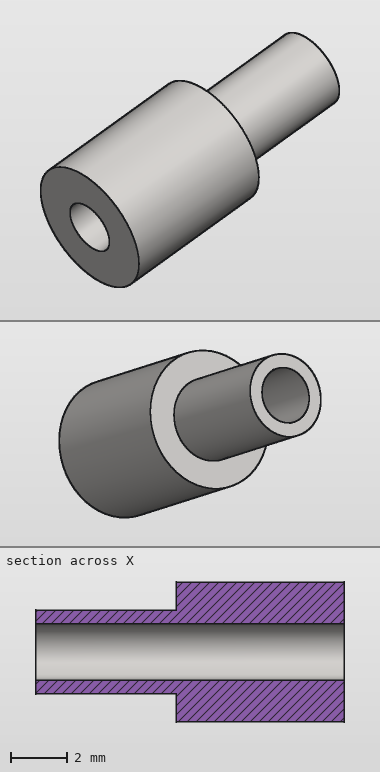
import cadquery as cq

total_length = 11.0
body_length = 6.0
body_diameter = 5.0
neck_diameter = 3.0
bore_diameter = 2.0

front_y = -total_length / 2


def cylinder_along_y(diameter, length):
    """Cylinder that starts at the front face and runs toward +Y."""
    return cq.Workplane("XZ", origin=(0, front_y, 0)).circle(diameter / 2).extrude(-length)


body = cylinder_along_y(body_diameter, body_length)
neck = cylinder_along_y(neck_diameter, total_length)
through_bore = cylinder_along_y(bore_diameter, total_length)

result = body.union(neck).cut(through_bore)